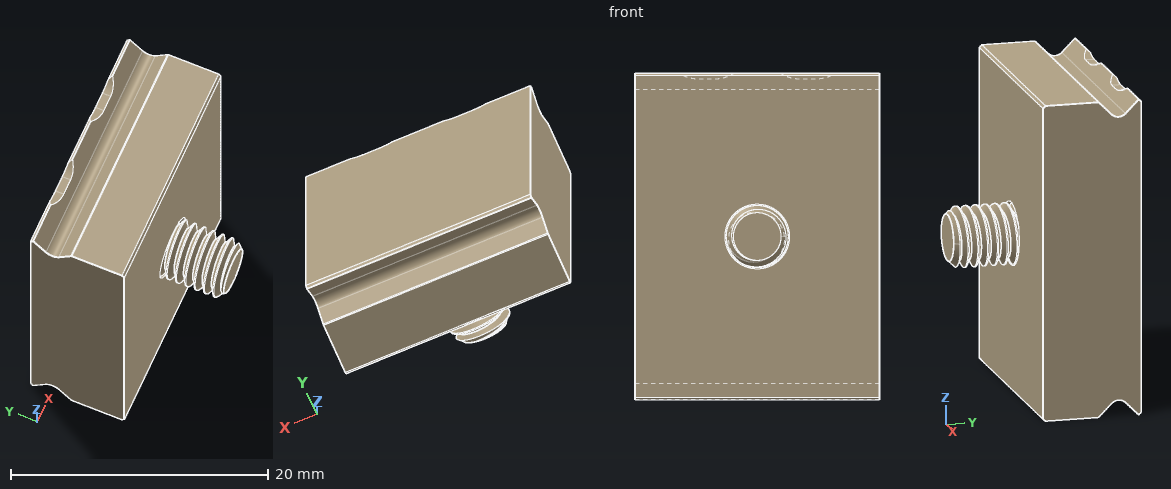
import cadquery as cq
import math

block_width = 19.05
block_height = 25.4
block_depth = 7.95
overall_depth = 13.08

edge_chamfer = 0.2
end_chamfer = 0.05
groove_center = 1.85
groove_half_width = 1.6
groove_radius = 0.75
groove_lip = 0.05

scallop_spacing = 7.87
scallop_depth = 0.45
scallop_flat = 1.35
scallop_half_width = 2.13

exposed_length = overall_depth - block_depth
major_radius = 2.41
minor_radius = 1.85
hole_radius = 2.51
embedded_length = 2 * major_radius
thread_pitch = 0.8
crest_width = 0.1
thread_phase = 0.13
flank_angle = 30.0
tip_radius = 1.8
root_overlap = 0.03

back_y = overall_depth / 2
front_y = back_y - block_depth
top_z = block_height / 2


def make_groove(side):
    """Round-bottomed V-groove along X; side is +1 for the top edge and -1 for the bottom."""
    axis_y = back_y - groove_center
    tangent_offset = groove_radius * math.sin(math.radians(45))
    tangent_depth = groove_half_width - tangent_offset
    lip_leg = groove_lip * math.cos(math.radians(45))
    bottom_depth = groove_half_width - groove_radius * (math.sqrt(2) - 1)
    return (
        cq.Workplane("YZ")
        .moveTo(axis_y - groove_half_width - groove_lip, side * top_z)
        .lineTo(axis_y - groove_half_width + lip_leg, side * (top_z - lip_leg))
        .lineTo(axis_y - tangent_offset, side * (top_z - tangent_depth))
        .threePointArc(
            (axis_y, side * (top_z - bottom_depth)),
            (axis_y + tangent_offset, side * (top_z - tangent_depth)),
        )
        .lineTo(axis_y + groove_half_width, side * top_z)
        .close()
        .extrude(block_width / 2, both=True)
    )


def make_scallop(center_x):
    """Flat-bottomed recess with arcs rising on both sides, cut from the back face to the groove."""
    half_flat = scallop_flat / 2
    run = scallop_half_width - half_flat
    radius = (run**2 + scallop_depth**2) / (2 * scallop_depth)
    half_sweep = math.atan2(scallop_depth, run)
    mid_x = half_flat + radius * math.sin(half_sweep)
    mid_z = top_z - scallop_depth + radius * (1 - math.cos(half_sweep))
    floor_z = top_z - scallop_depth
    return (
        cq.Workplane("XZ", origin=(center_x, back_y, 0))
        .moveTo(-scallop_half_width, top_z)
        .threePointArc((-mid_x, mid_z), (-half_flat, floor_z))
        .lineTo(half_flat, floor_z)
        .threePointArc((mid_x, mid_z), (scallop_half_width, top_z))
        .close()
        .extrude(groove_center)
    )


def make_stud_hole():
    """Blind round hole in the middle of the front face."""
    return cq.Workplane("XZ", origin=(0, front_y, 0)).circle(hole_radius).extrude(-embedded_length)


def make_block():
    block = (
        cq.Workplane("XY")
        .box(block_width, block_depth, block_height)
        .translate((0, back_y - block_depth / 2, 0))
        .edges("|X")
        .chamfer(edge_chamfer)
    )
    for side in (1, -1):
        block = block.cut(make_groove(side))
    block = block.faces("<X or >X").edges().chamfer(end_chamfer)
    for side in (1, -1):
        block = block.cut(make_scallop(side * scallop_spacing / 2))
    return block.cut(make_stud_hole())


def make_thread_ridge():
    """Helical trapezoidal ridge around Z, running past both ends of the stud."""
    inner_radius = minor_radius - root_overlap
    half_crest = crest_width / 2
    half_base = half_crest + (major_radius - inner_radius) * math.tan(math.radians(flank_angle))
    turns_below_face = math.ceil(embedded_length / thread_pitch) + 1
    start_z = thread_phase - turns_below_face * thread_pitch
    helix = cq.Wire.makeHelix(thread_pitch, exposed_length + thread_pitch - start_z, minor_radius)
    return (
        cq.Workplane("XZ")
        .polyline(
            [
                (inner_radius, -half_base),
                (major_radius, -half_crest),
                (major_radius, half_crest),
                (inner_radius, half_base),
            ]
        )
        .close()
        .sweep(cq.Workplane(helix), isFrenet=True)
        .translate((0, 0, start_z))
    )


def make_stud():
    """Threaded stud with a 45 degree tip cone, standing on the hole bottom and pointing to -Y."""
    stud_length = embedded_length + exposed_length
    envelope_radius = major_radius + crest_width
    hole_bottom = cq.Workplane("XY", origin=(0, 0, -embedded_length))
    envelope = (
        hole_bottom.circle(envelope_radius)
        .extrude(stud_length)
        .faces(">Z")
        .chamfer(envelope_radius - tip_radius)
    )
    core = hole_bottom.circle(minor_radius).extrude(stud_length)
    stud = core.union(make_thread_ridge().intersect(envelope))
    return stud.rotate((0, 0, 0), (1, 0, 0), 90).translate((0, front_y, 0))


block = make_block()
stud = make_stud()

result = cq.Compound.makeCompound([block.solids().val(), stud.solids().val()])